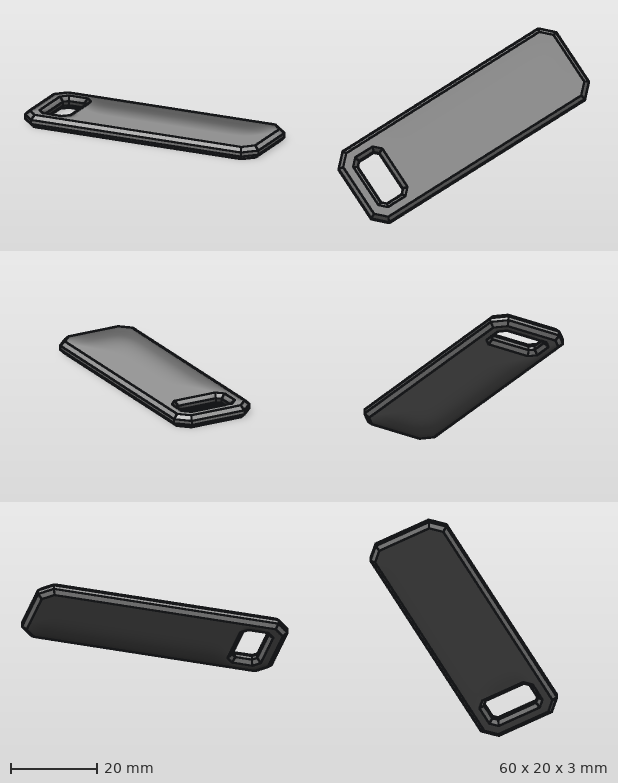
import cadquery as cq

length = 60.0
width = 20.0
thickness = 3.0
corner_cut = 3.0

bevel = thickness / 3
bevel_angle = 45

slot_size_x = 6.0
slot_size_y = 12.0
slot_corner_cut = bevel
slot_end_margin = 3.0
slot_center_x = -length / 2 + slot_end_margin + bevel + slot_size_x / 2


def cut_corner_block(size_x, size_y, corner):
    """Block of the plate's thickness with its four upright corners cut at 45 degrees."""
    block = cq.Workplane("XY").box(size_x, size_y, thickness, centered=(True, True, False))
    return block.edges("|Z").chamfer(corner)


def make_plate():
    """Plate with its top and bottom rims bevelled all round."""
    plate = cut_corner_block(length, width, corner_cut)
    return plate.faces("<Z or >Z").chamfer(bevel)


def make_slot_cutter():
    """Straight slot core that flares outward by the bevel at both mouths."""
    core = cut_corner_block(slot_size_x, slot_size_y, slot_corner_cut)
    cutter = core
    for mouth, inward in ((">Z", -1), ("<Z", 1)):
        outline = core.faces(mouth).wires().val().offset2D(bevel, "intersection")[0]
        flare = cq.Workplane("XY").add(outline).toPending().extrude(inward * bevel, taper=bevel_angle)
        cutter = cutter.union(flare)
    return cutter.translate((slot_center_x, 0, 0))


result = make_plate().cut(make_slot_cutter())